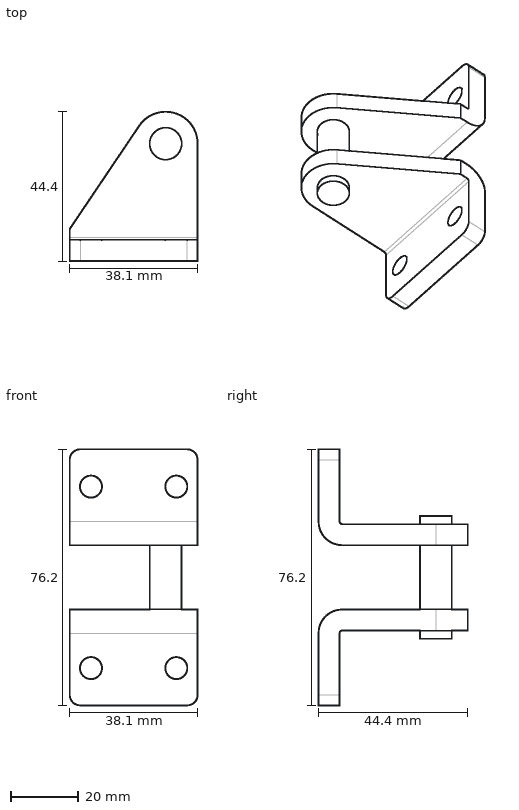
import cadquery as cq
import math

width = 38.1
total_height = 76.25
arm_gap = 19.1
thickness = 6.3

inner_bend_radius = 0.8
outer_bend_radius = inner_bend_radius + thickness

arm_end_radius = 9.5
pin_x = width - arm_end_radius
pin_y = 34.9
arm_side_length = 9.5

corner_radius = 3.2
hole_diameter = 6.5
hole_spacing = 25.4
hole_from_edge = 11.1

pin_diameter = 9.5
pin_length = 36.6

arm_inner_z = arm_gap / 2
top_z = total_height / 2


def bent_strip():
    """L-shaped sheet of the upper bracket, full width and full arm length."""
    arm_tip_y = pin_y + arm_end_radius
    arm_outer_z = arm_inner_z + thickness
    bend_y = outer_bend_radius
    bend_z = arm_inner_z + outer_bend_radius
    diagonal = math.sqrt(0.5)
    outer_mid = (bend_y - outer_bend_radius * diagonal, bend_z - outer_bend_radius * diagonal)
    inner_mid = (bend_y - inner_bend_radius * diagonal, bend_z - inner_bend_radius * diagonal)
    return (
        cq.Workplane("YZ")
        .moveTo(0, top_z)
        .lineTo(0, bend_z)
        .threePointArc(outer_mid, (bend_y, arm_inner_z))
        .lineTo(arm_tip_y, arm_inner_z)
        .lineTo(arm_tip_y, arm_outer_z)
        .lineTo(bend_y, arm_outer_z)
        .threePointArc(inner_mid, (thickness, bend_z))
        .lineTo(thickness, top_z)
        .close()
        .extrude(width)
    )


def arm_outline():
    """Plan outline: straight sides, a rounded end and a slanted edge tangent to it."""
    to_corner_x = -pin_x
    to_corner_y = arm_side_length - pin_y
    corner_distance = math.hypot(to_corner_x, to_corner_y)
    corner_angle = math.atan2(to_corner_y, to_corner_x)
    tangent_angle = corner_angle - math.acos(arm_end_radius / corner_distance)
    tangent_point = (
        pin_x + arm_end_radius * math.cos(tangent_angle),
        pin_y + arm_end_radius * math.sin(tangent_angle),
    )
    return (
        cq.Workplane("XY")
        .lineTo(width, 0)
        .lineTo(width, pin_y)
        .threePointArc((pin_x, pin_y + arm_end_radius), tangent_point)
        .lineTo(0, arm_side_length)
        .close()
        .extrude(top_z)
    )


def upper_bracket():
    """Bent bracket with rounded plate corners, two screw holes and a pin hole."""
    bracket = bent_strip().intersect(arm_outline())
    bracket = bracket.edges("|Y").edges(">Z").fillet(corner_radius)

    screw_holes = (
        cq.Workplane("XZ")
        .center(width / 2, top_z - hole_from_edge)
        .rarray(hole_spacing, 0.8, 2, 1)
        .circle(hole_diameter / 2)
        .extrude(-thickness)
    )
    return bracket.cut(screw_holes).cut(hinge_pin())


def hinge_pin():
    """Plain round pin centred on the mid-plane, passing through both arms."""
    return (
        cq.Workplane("XY", origin=(pin_x, pin_y, -pin_length / 2))
        .circle(pin_diameter / 2)
        .extrude(pin_length)
    )


top_bracket = upper_bracket()
brackets = []
for bracket in (top_bracket, top_bracket.mirror("XY")):
    brackets.append(bracket.val())

pin = hinge_pin()

result = cq.Compound.makeCompound([*brackets, pin.val()])